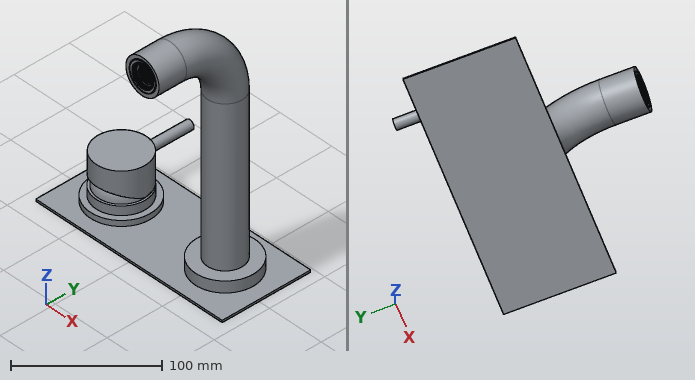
import cadquery as cq
import math

PLATE_LENGTH = 180.0
PLATE_WIDTH = 80.0
PLATE_THICKNESS = 2.0
STATION_OFFSET = 50.0

MIXER_FLANGE_RADIUS = 28.0
MIXER_FLANGE_HEIGHT = 5.0
COLLAR_RADIUS = 22.8
COLLAR_HEIGHT = 8.0
DOME_RADIUS = 20.8
DOME_HEIGHT = 13.0

CAP_RADIUS = 22.5
CAP_GAP = 2.0
CAP_TOP = 43.8
CAP_WALL = 1.3
RELIEF_RISE = 8.7
LEVER_RADIUS = 4.1
LEVER_REACH = 61.5
LEVER_Z = 33.2
HANDLE_TURN = -0.4

SPOUT_FLANGE_RADIUS = 27.0
SPOUT_FLANGE_HEIGHT = 10.0
SPOUT_RADIUS = 16.0
SPOUT_TOP = 217.0
BEND_RADIUS = 49.9
OUTLET_LENGTH = 25.0

AERATOR_RADIUS = 12.8
AERATOR_DEPTH = 6.5
AERATOR_EDGE_CHAMFER = 0.7
MOUTH_RADIUS = 10.2
MOUTH_STEPS = 4
MOUTH_STEP = 0.7
MESH_PITCH = 1.47
MESH_HOLE = 1.24
MESH_ANGLE = -14.0

MESH_RADIUS = MOUTH_RADIUS - (MOUTH_STEPS - 1) * MOUTH_STEP
COLLAR_BASE = PLATE_THICKNESS + MIXER_FLANGE_HEIGHT
COLLAR_TOP = COLLAR_BASE + COLLAR_HEIGHT
DOME_TOP = COLLAR_TOP + DOME_HEIGHT
CAP_BOTTOM = COLLAR_TOP + CAP_GAP
SPOUT_AXIS_Z = SPOUT_TOP - SPOUT_RADIUS
BEND_START_Z = SPOUT_AXIS_Z - BEND_RADIUS
OUTLET_Y = -(BEND_RADIUS + OUTLET_LENGTH)


def make_plate():
    return cq.Workplane("XY").box(PLATE_LENGTH, PLATE_WIDTH, PLATE_THICKNESS, centered=(True, True, False))


def make_mixer_base():
    """Flange, collar and dome turned as one profile about the mixer axis."""
    shoulder_radius = DOME_RADIUS - DOME_HEIGHT
    arc_mid = DOME_HEIGHT * math.cos(math.radians(45))
    base = (
        cq.Workplane("XZ")
        .moveTo(0, PLATE_THICKNESS)
        .lineTo(MIXER_FLANGE_RADIUS, PLATE_THICKNESS)
        .lineTo(MIXER_FLANGE_RADIUS, COLLAR_BASE)
        .lineTo(COLLAR_RADIUS, COLLAR_BASE)
        .lineTo(COLLAR_RADIUS, COLLAR_TOP)
        .lineTo(DOME_RADIUS, COLLAR_TOP)
        .threePointArc((shoulder_radius + arc_mid, COLLAR_TOP + arc_mid), (shoulder_radius, DOME_TOP))
        .lineTo(0, DOME_TOP)
        .close()
        .revolve(360, (0, 0, 0), (0, 1, 0))
    )
    return base.translate((-STATION_OFFSET, 0, 0))


def make_handle():
    cap = cq.Workplane("XY", origin=(0, 0, CAP_BOTTOM)).circle(CAP_RADIUS).extrude(CAP_TOP - CAP_BOTTOM)
    lever = cq.Workplane("XZ", origin=(0, 0, LEVER_Z)).circle(LEVER_RADIUS).extrude(-LEVER_REACH)
    cavity = (
        cq.Workplane("XY", origin=(0, 0, CAP_BOTTOM))
        .circle(CAP_RADIUS - CAP_WALL)
        .extrude(DOME_TOP - CAP_BOTTOM)
    )
    relief = (
        cq.Workplane("YZ")
        .moveTo(0, CAP_BOTTOM)
        .lineTo(-CAP_RADIUS, CAP_BOTTOM)
        .lineTo(-CAP_RADIUS, CAP_BOTTOM + RELIEF_RISE)
        .close()
        .extrude(CAP_RADIUS, both=True)
    )
    handle = cap.union(lever).cut(cavity).cut(relief)
    handle = handle.rotate((0, 0, 0), (0, 0, 1), HANDLE_TURN)
    return handle.translate((-STATION_OFFSET, 0, 0))


def make_spout_flange():
    return (
        cq.Workplane("XY", origin=(STATION_OFFSET, 0, PLATE_THICKNESS))
        .circle(SPOUT_FLANGE_RADIUS)
        .circle(SPOUT_RADIUS)
        .extrude(SPOUT_FLANGE_HEIGHT)
    )


def make_spout():
    arc_mid = BEND_RADIUS * math.cos(math.radians(45))
    path = (
        cq.Workplane("YZ", origin=(STATION_OFFSET, 0, 0))
        .moveTo(0, PLATE_THICKNESS)
        .lineTo(0, BEND_START_Z)
        .threePointArc((arc_mid - BEND_RADIUS, BEND_START_Z + arc_mid), (-BEND_RADIUS, SPOUT_AXIS_Z))
        .lineTo(OUTLET_Y, SPOUT_AXIS_Z)
    )
    spout = cq.Workplane("XY", origin=(STATION_OFFSET, 0, PLATE_THICKNESS)).circle(SPOUT_RADIUS).sweep(path)
    return spout.cut(outlet_disc(AERATOR_RADIUS, 0, AERATOR_DEPTH))


def outlet_plane(inset):
    """Workplane across the outlet, inset from its mouth, with its normal along -Y."""
    return cq.Workplane("XZ", origin=(STATION_OFFSET, OUTLET_Y + inset, SPOUT_AXIS_Z))


def outlet_disc(radius, inset, depth):
    return outlet_plane(inset).circle(radius).extrude(-depth)


def mesh_hole_centers():
    """Grid points whose square holes lie fully inside the mesh disc."""
    reach = MESH_RADIUS - MESH_HOLE / math.sqrt(2)
    steps = math.ceil(MESH_RADIUS / MESH_PITCH)
    positions = [i * MESH_PITCH for i in range(-steps, steps + 1)]
    grid = [(across, up) for across in positions for up in positions]
    return [point for point in grid if math.hypot(*point) <= reach]


def make_aerator():
    aerator = outlet_disc(AERATOR_RADIUS, 0, AERATOR_DEPTH).faces("<Y").chamfer(AERATOR_EDGE_CHAMFER)
    for step in range(MOUTH_STEPS):
        inset = step * MOUTH_STEP
        aerator = aerator.cut(outlet_disc(MOUTH_RADIUS - inset, inset, MOUTH_STEP))
    holes = (
        outlet_plane(0)
        .transformed(rotate=(0, 0, MESH_ANGLE))
        .pushPoints(mesh_hole_centers())
        .rect(MESH_HOLE, MESH_HOLE)
        .extrude(-AERATOR_DEPTH)
    )
    return aerator.cut(holes)


plate = make_plate()
mixer_base = make_mixer_base()
handle = make_handle()
spout_flange = make_spout_flange()
spout = make_spout()
aerator = make_aerator()

result = cq.Compound.makeCompound(
    [plate.val(), mixer_base.val(), handle.val(), spout_flange.val(), spout.val(), aerator.val()]
)